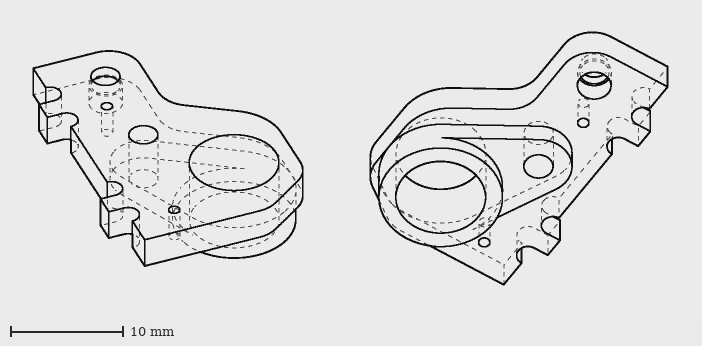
import cadquery as cq
import math

length = 26.5
plate_thickness = 3.0
peak_y = 17.05
shoulder_y = 9.05
ramp_bottom_x = 9.04
ramp_top_x = 14.02
right_slope_top_x = 22.92
right_slope_bottom_y = 12.03
small_corner_radius = 3.0
peak_corner_radius = 5.0

tab_width = 2.0
tab_drop = 1.45
notch_radius = 1.0
tab_centers_x = (6.0, 20.6)

bearing_center = (19.25, peak_y - 5.5)
boss_radius = peak_y - bearing_center[1]
bearing_bore_diameter = 8.0
pivot_center = (12.5, 5.55)
pivot_boss_radius = 3.0
arm_thickness = 2.0
boss_height = 3.5

screw_hole_diameter = 2.6
screw_center = (3.5, pivot_center[1])
screw_head_diameter = 3.0
screw_web_thickness = 1.0
pin_hole_diameter = 1.0
pin_centers = ((7.5, 4.05), (23.5, 4.05))


def round_corner(plate, corner, radius):
    """Round the vertical plate edge standing at the given corner."""
    x, y = corner
    reach = 0.03
    near = cq.selectors.BoxSelector(
        (x - reach, y - reach, -plate_thickness), (x + reach, y + reach, 0)
    )
    return plate.edges(near).edges("|Z").fillet(radius)


def make_plate():
    shoulder_left = (0, shoulder_y)
    ramp_bottom = (ramp_bottom_x, shoulder_y)
    ramp_top = (ramp_top_x, peak_y)
    slope_top = (right_slope_top_x, peak_y)
    slope_bottom = (length, right_slope_bottom_y)
    corners = (
        (shoulder_left, small_corner_radius),
        (ramp_bottom, small_corner_radius),
        (ramp_top, peak_corner_radius),
        (slope_top, small_corner_radius),
        (slope_bottom, small_corner_radius),
    )
    outline = [(0, 0)] + [corner for corner, radius in corners] + [(length, 0)]
    plate = cq.Workplane("XY").polyline(outline).close().extrude(-plate_thickness)
    for corner, radius in corners:
        plate = round_corner(plate, corner, radius)

    for tab_x in tab_centers_x:
        tab = cq.Workplane("XY").center(tab_x, 0).rect(tab_width, 2 * tab_drop)
        plate = plate.union(tab.extrude(-plate_thickness))
        for side in (-1, 1):
            notch_x = tab_x + side * (tab_width / 2 + notch_radius)
            notch = cq.Workplane("XY").center(notch_x, 0).circle(notch_radius)
            plate = plate.cut(notch.extrude(-plate_thickness))
    return plate


def make_arm():
    """Slab under the plate wrapping the pivot and bearing circles with tangent sides."""
    dx = bearing_center[0] - pivot_center[0]
    dy = bearing_center[1] - pivot_center[1]
    axis_angle = math.atan2(dy, dx)
    spread = math.acos((pivot_boss_radius - boss_radius) / math.hypot(dx, dy))

    def on_circle(center, radius, angle):
        return (center[0] + radius * math.cos(angle), center[1] + radius * math.sin(angle))

    lower = axis_angle - spread
    upper = axis_angle + spread
    return (
        cq.Workplane("XY", origin=(0, 0, -plate_thickness))
        .moveTo(*on_circle(pivot_center, pivot_boss_radius, lower))
        .lineTo(*on_circle(bearing_center, boss_radius, lower))
        .threePointArc(
            on_circle(bearing_center, boss_radius, axis_angle),
            on_circle(bearing_center, boss_radius, upper),
        )
        .lineTo(*on_circle(pivot_center, pivot_boss_radius, upper))
        .threePointArc(
            on_circle(pivot_center, pivot_boss_radius, axis_angle + math.pi),
            on_circle(pivot_center, pivot_boss_radius, lower),
        )
        .close()
        .extrude(-arm_thickness)
    )


def make_cylinder(center, diameter, top_z, height):
    """Vertical cylinder reaching down from top_z."""
    base = cq.Workplane("XY", origin=(center[0], center[1], top_z))
    return base.circle(diameter / 2).extrude(-height)


boss = make_cylinder(bearing_center, 2 * boss_radius, -plate_thickness, boss_height)
result = make_plate().union(make_arm()).union(boss)

full_height = plate_thickness + boss_height
through_holes = [
    (bearing_center, bearing_bore_diameter),
    (pivot_center, screw_hole_diameter),
    (screw_center, screw_hole_diameter),
]
through_holes += [(center, pin_hole_diameter) for center in pin_centers]
for center, diameter in through_holes:
    result = result.cut(make_cylinder(center, diameter, 0, full_height))

counterbore_depth = plate_thickness - screw_web_thickness
result = result.cut(
    make_cylinder(screw_center, screw_head_diameter, -screw_web_thickness, counterbore_depth)
)